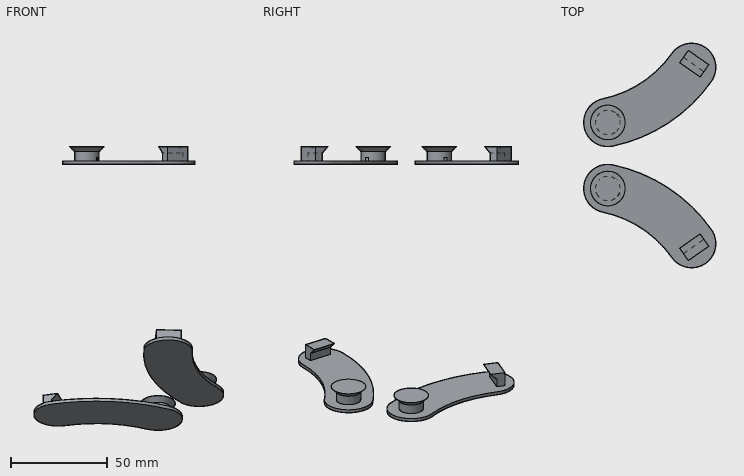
import cadquery as cq
import math

overall_length = 116.1
overall_width = 68.4
end_radius = 12.5
plate_thickness = 1.7
pin_offset_y = 17.1
arc_sweep = 43.0

total_height = 9.2
stem_diameter = 12.7
head_radius = 8.9
stem_radius = stem_diameter / 2
flare = head_radius - stem_radius

key_size = 1.7
key_reach = 6.6
key_angle = 30.0

block_length = 12.9
block_depth = 7.8
block_overhang = 3.4
block_shift = 2.3
block_angle = -35.0

pin_x = end_radius - overall_width / 2
block_x = overall_width / 2 - end_radius
block_y = overall_length / 2 - end_radius

span_x = block_x - pin_x
span_y = block_y - pin_offset_y
span = math.hypot(span_x, span_y)
span_angle = math.degrees(math.atan2(span_y, span_x))
bend_radius = span / 2 / math.sin(math.radians(arc_sweep / 2))
start_angle = span_angle - 90 - arc_sweep / 2
end_angle = start_angle + arc_sweep
bend_x = pin_x - bend_radius * math.cos(math.radians(start_angle))
bend_y = pin_offset_y - bend_radius * math.sin(math.radians(start_angle))


def bend_point(radius, angle):
    """Point at a radius and an angle in degrees about the bend centre."""
    turn = math.radians(angle)
    return bend_x + radius * math.cos(turn), bend_y + radius * math.sin(turn)


def make_plate():
    """Curved plate of constant width with round ends."""
    inner = bend_radius - end_radius
    outer = bend_radius + end_radius
    middle_angle = (start_angle + end_angle) / 2
    band = (
        cq.Workplane("XY")
        .moveTo(*bend_point(inner, start_angle))
        .threePointArc(bend_point(inner, middle_angle), bend_point(inner, end_angle))
        .lineTo(*bend_point(outer, end_angle))
        .threePointArc(bend_point(outer, middle_angle), bend_point(outer, start_angle))
        .close()
        .extrude(plate_thickness)
    )
    ends = (
        cq.Workplane("XY")
        .pushPoints([(pin_x, pin_offset_y), (block_x, block_y)])
        .circle(end_radius)
        .extrude(plate_thickness)
    )
    return band.union(ends)


def make_pin():
    """Round stem whose head flares out at 45 degrees to a flat top."""
    return (
        cq.Workplane("XZ")
        .polyline([
            (0, 0),
            (stem_radius, 0),
            (stem_radius, total_height - flare),
            (head_radius, total_height),
            (0, total_height),
        ])
        .close()
        .revolve(360, (0, 0, 0), (0, 1, 0))
        .translate((pin_x, pin_offset_y, 0))
    )


def make_key():
    """Square key that just breaks through the stem, on the side facing the arm."""
    return (
        cq.Workplane("XY")
        .box(key_reach, key_size, key_size, centered=(False, True, False))
        .rotate((0, 0, 0), (0, 0, 1), key_angle)
        .translate((pin_x, pin_offset_y, plate_thickness))
    )


def make_block():
    """Block with a 45 degree overhang on the side that faces the pin."""
    back = block_shift + block_depth / 2
    front = back - block_depth
    return (
        cq.Workplane("YZ")
        .polyline([
            (back, 0),
            (back, total_height),
            (front, total_height),
            (front + block_overhang, total_height - block_overhang),
            (front + block_overhang, 0),
        ])
        .close()
        .extrude(block_length / 2, both=True)
        .rotate((0, 0, 0), (0, 0, 1), block_angle)
        .translate((block_x, block_y, 0))
    )


def make_arm(mirrored):
    """One arm: plate, pin, key and block in one solid, mirrored across XZ if asked."""
    arm = make_plate().union(make_pin()).union(make_key()).union(make_block())
    if mirrored:
        arm = arm.mirror("XZ")
    return arm


arms = [make_arm(mirrored) for mirrored in (False, True)]

result = cq.Compound.makeCompound([arm.val() for arm in arms])